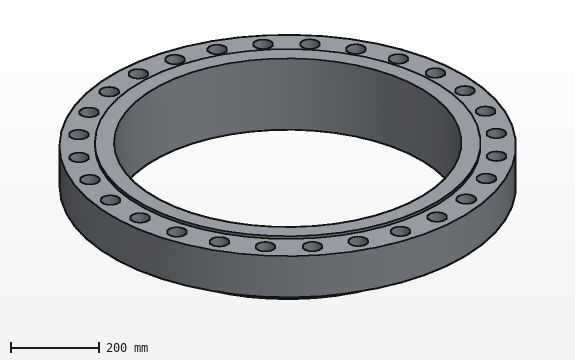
import cadquery as cq
import math

flange_diameter = 1035.0
raised_face_diameter = 875.0
bore_diameter = 788.0
weld_end_diameter = 820.0
bevel_end_diameter = 796.0
hub_base_diameter = 844.0

total_height = 185.0
raised_face_height = 7.0
flange_thickness = 107.0
bevel_height = 9.0
hub_base_height = 61.0

hub_fillet_radius = 13.0

bolt_count = 28
bolt_circle_diameter = 952.0
bolt_hole_diameter = 45.0

flange_top = total_height - raised_face_height
flange_bottom = flange_top - flange_thickness

taper_angle = math.atan2(
    (hub_base_diameter - weld_end_diameter) / 2,
    hub_base_height - bevel_height,
)
fillet_height = hub_fillet_radius * (1 - math.sin(taper_angle))
fillet_width = hub_fillet_radius * math.cos(taper_angle)


def make_body():
    """Revolve the flange, raised face and tapered hub about Z."""
    profile = (
        cq.Workplane("XZ")
        .moveTo(bore_diameter / 2, 0)
        .lineTo(bevel_end_diameter / 2, 0)
        .lineTo(weld_end_diameter / 2, bevel_height)
        .lineTo(hub_base_diameter / 2, flange_bottom - fillet_height)
        .radiusArc((hub_base_diameter / 2 + fillet_width, flange_bottom), hub_fillet_radius)
        .lineTo(flange_diameter / 2, flange_bottom)
        .lineTo(flange_diameter / 2, flange_top)
        .lineTo(raised_face_diameter / 2, flange_top)
        .lineTo(raised_face_diameter / 2, total_height)
        .lineTo(bore_diameter / 2, total_height)
        .close()
    )
    return profile.revolve(360, (0, 0, 0), (0, 1, 0))


def make_bolt_holes():
    """Cylinders evenly spaced on the bolt circle, the first one on +X."""
    return (
        cq.Workplane("XY")
        .polarArray(bolt_circle_diameter / 2, 0, 360, bolt_count)
        .circle(bolt_hole_diameter / 2)
        .extrude(total_height)
    )


result = make_body().cut(make_bolt_holes())